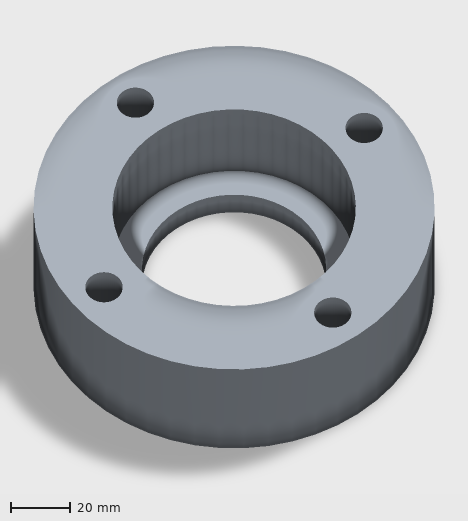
import cadquery as cq

outer_diameter = 135.0
height = 45.0

recess_diameter = 81.9
bore_diameter = 62.0
floor_thickness = 10.0
recess_depth = height - floor_thickness

bolt_count = 4
bolt_hole_diameter = 12.5
bolt_circle_radius = 55.0
first_bolt_angle = -15.0

body = cq.Workplane("XY").circle(outer_diameter / 2).extrude(height)

body = body.faces(">Z").workplane().cboreHole(bore_diameter, recess_diameter, recess_depth)

bolt_holes = (
    cq.Workplane("XY")
    .polarArray(bolt_circle_radius, first_bolt_angle, 360, bolt_count)
    .circle(bolt_hole_diameter / 2)
    .extrude(height)
)

result = body.cut(bolt_holes)